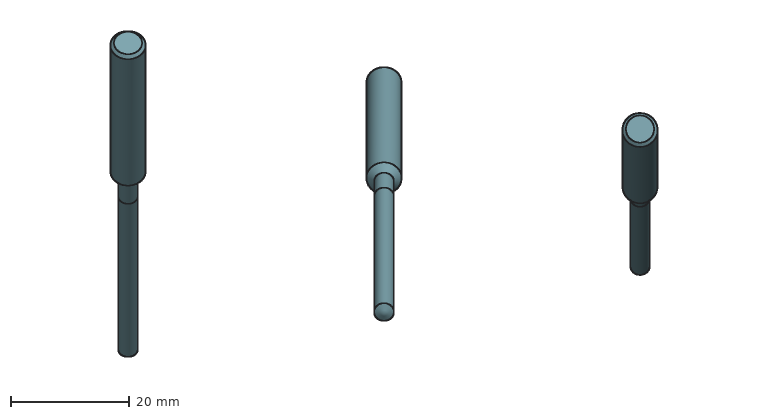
import cadquery as cq
import math

total_length = 86.8
shank_diameter = 6.0
drill_diameter = 3.4

joint_height = 43.7
shank_bottom_height = 50.6

top_chamfer = 0.6
point_angle = 140.0
shoulder_angle = 45.0

shank_radius = shank_diameter / 2
drill_radius = drill_diameter / 2
point_height = drill_radius / math.tan(math.radians(point_angle / 2))
shoulder_height = (shank_radius - drill_radius) / math.tan(math.radians(shoulder_angle))
neck_top_height = shank_bottom_height - shoulder_height


def revolve_profile(points):
    """Turn a closed (radius, height) outline about the Z axis."""
    return cq.Workplane("XZ").polyline(points).close().revolve(360, (0, 0, 0), (0, 1, 0))


def make_shank():
    """Cylindrical shank with a chamfered top, a conical shoulder and a neck."""
    return revolve_profile([
        (0, joint_height),
        (drill_radius, joint_height),
        (drill_radius, neck_top_height),
        (shank_radius, shank_bottom_height),
        (shank_radius, total_length - top_chamfer),
        (shank_radius - top_chamfer, total_length),
        (0, total_length),
    ])


def make_drill():
    """Round drill rod with a conical point, butted against the neck."""
    return revolve_profile([
        (0, 0),
        (drill_radius, point_height),
        (drill_radius, joint_height),
        (0, joint_height),
    ])


shank = make_shank()
drill = make_drill()

result = cq.Compound.makeCompound([shank.val(), drill.val()])